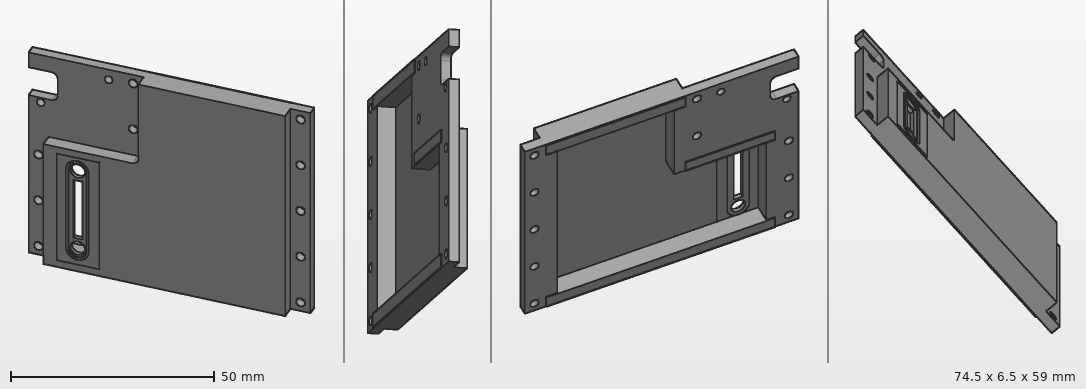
import cadquery as cq

width = 74.45
height = 59.0
total_depth = 6.5
lip_depth = 0.3
block_depth = 3.5
front_y = -total_depth / 2
back_y = total_depth / 2 - lip_depth
flange_y = front_y + block_depth

block_half_width = 31.95
step_x = -6.85
step_z = 5.9
corner_radius = 1.65

wall = 3.5
front_wall = 1.5

lip_left = -30.7
lip_right = 31.6
lip_step_x = -6.3
lip_height = 3.4
lip_setback = 0.15
lip_edge = height / 2 - lip_setback
step_lip_top = 5.5
step_lip_height = 3.05

notch_depth = 7.7
notch_bottom = 16.9
notch_top = 25.1

screw_diameter = 2.3
screw_pitch = 13.5
screw_column_x = 34.6
inner_screw_x = -9.6
pin_diameter = 2.1
pin_places = [(-16.1, 26.5), (-34.0, 15.5)]

panel_width = 11.25
panel_height = 31.4
panel_x = -22.8
panel_z = -11.8

socket_x = -23.0
socket_z = -11.55
socket_diameter = 6.0
recess_diameter = 4.8
recess_depth = 0.4
port_diameter = 3.9
port_spacing = 22.7
socket_arc_spacing = 23.1
slot_width = 2.4
slot_height = 17.0


def prism(outline, y_start, y_end):
    """Extrude an outline drawn in X and Z from y_start back to y_end."""
    return outline.extrude(y_start - y_end).translate((0, y_start, 0))


def rectangle(left, right, bottom, top):
    """Rectangle in the XZ plane from its four sides."""
    center = ((left + right) / 2, (bottom + top) / 2)
    return cq.Workplane("XZ").center(*center).rect(right - left, top - bottom)


def circles(places, diameter):
    """Equal circles in the XZ plane."""
    return cq.Workplane("XZ").pushPoints(places).circle(diameter / 2)


def panel_outline():
    """Outer rectangle of the panel."""
    return cq.Workplane("XZ").center(panel_x, panel_z).rect(panel_width, panel_height)


def obround(diameter):
    """Upright obround on the socket's center."""
    return cq.Workplane("XZ").center(socket_x, socket_z).slot2D(socket_arc_spacing + diameter, diameter, 90)


def stepped_outline(inset):
    """Block outline moved inward: a rectangle without its upper left corner."""
    left = -block_half_width + inset
    right = block_half_width - inset
    bottom = -height / 2 + inset
    top = height / 2 - inset
    inner_x = step_x + inset
    inner_z = step_z - inset
    points = [
        (left, bottom), (right, bottom), (right, top),
        (inner_x, top), (inner_x, inner_z), (left, inner_z),
    ]
    return cq.Workplane("XZ").polyline(points).close()


def make_block():
    """Raised block with its inside step corner rounded."""
    block = prism(stepped_outline(0), front_y, flange_y)
    step_corner = cq.selectors.NearestToPointSelector((step_x, (front_y + flange_y) / 2, step_z))
    return block.edges("|Y").edges(step_corner).fillet(corner_radius)


def make_notch():
    """Cutter for the left edge, with its two inner corners rounded."""
    bottom_x = -width / 2 + notch_depth
    notch = prism(rectangle(-width / 2, bottom_x, notch_bottom, notch_top), flange_y, back_y)
    return notch.edges("|Y and >X").fillet(corner_radius)


def make_flange_holes():
    """Cutter for the screw holes and the two smaller pin holes."""
    upper_rows = [screw_pitch, 2 * screw_pitch]
    lower_rows = [-2 * screw_pitch, -screw_pitch, 0]
    places = [(screw_column_x, z) for z in lower_rows + upper_rows]
    places += [(-screw_column_x, z) for z in lower_rows]
    places += [(inner_screw_x, z) for z in upper_rows]
    screws = circles(places, screw_diameter)
    pins = circles(pin_places, pin_diameter)
    return prism(screws, flange_y, back_y).union(prism(pins, flange_y, back_y))


def make_lips():
    """Three low lips: along the top edge, below the step and along the bottom edge."""
    lips = [
        (lip_step_x, lip_right, lip_edge - lip_height, lip_edge),
        (lip_left, lip_step_x, step_lip_top - step_lip_height, step_lip_top),
        (lip_left, lip_right, -lip_edge, -lip_edge + lip_height),
    ]
    return [prism(rectangle(*sides), back_y, back_y + lip_depth) for sides in lips]


def make_housing():
    """Flanged housing, hollow from the back, with a front opening for the panel."""
    plate = rectangle(-width / 2, width / 2, -height / 2, height / 2)
    housing = prism(plate, flange_y, back_y).union(make_block())
    for lip in make_lips():
        housing = housing.union(lip)
    cavity = prism(stepped_outline(wall), front_y + front_wall, back_y + lip_depth)
    opening = prism(panel_outline(), front_y, front_y + front_wall)
    return housing.cut(cavity).cut(opening).cut(make_notch()).cut(make_flange_holes())


def make_panel():
    """Rectangular panel with an obround opening for the socket."""
    back = front_y + front_wall
    panel = prism(panel_outline(), front_y, back)
    return panel.cut(prism(obround(socket_diameter), front_y, back))


def make_socket():
    """Obround socket with a shallow recess, a slot and a round port at each end."""
    back = front_y + front_wall
    port_places = [(socket_x, socket_z + side * port_spacing / 2) for side in (-1, 1)]
    socket = prism(obround(socket_diameter), front_y, back)
    socket = socket.cut(prism(obround(recess_diameter), front_y, front_y + recess_depth))
    slot = cq.Workplane("XZ").center(socket_x, socket_z).rect(slot_width, slot_height)
    socket = socket.cut(prism(slot, front_y, back))
    return socket.cut(prism(circles(port_places, port_diameter), front_y, back))


housing = make_housing()
panel = make_panel()
socket = make_socket()

result = cq.Compound.makeCompound([housing.val(), panel.val(), socket.val()])